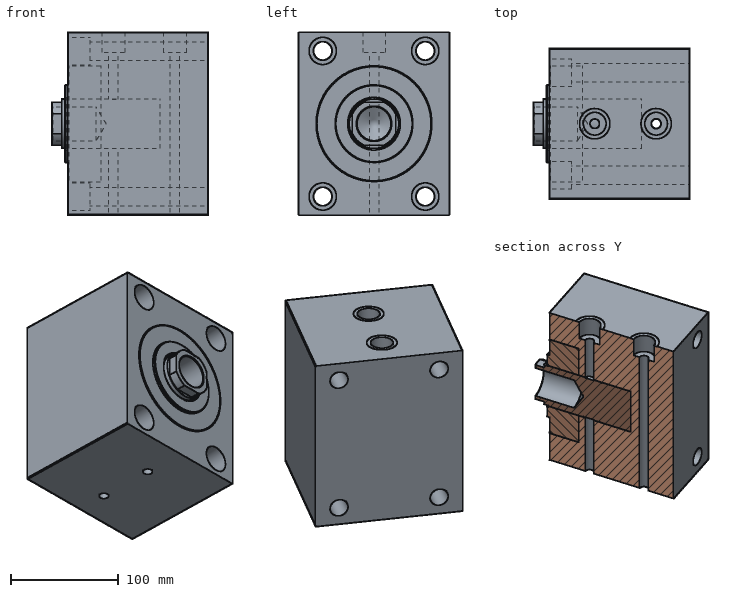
import cadquery as cq
import math


BLOCK_LENGTH = 130.0
BLOCK_WIDTH = 140.0
BLOCK_HEIGHT = 170.0
EDGE_CHAMFER = 0.8

BOLT_SPACING_Y = 95.0
BOLT_SPACING_Z = 135.0
BOLT_HOLE_DIAMETER = 17.0
BOLT_HEAD_DIAMETER = 25.3
BOLT_HEAD_DEPTH = 20.4

PORT_POSITIONS = (42.0, 99.0)
PORT_HOLE_DIAMETER = 8.8
PORT_THREAD_DIAMETER = 21.0
PORT_THREAD_DEPTH = 18.7
PORT_FACE_DIAMETER = 28.2
PORT_FACE_DEPTH = 0.2

GLAND_DIAMETER = 107.5
GLAND_DEPTH = 30.6
GLAND_EDGE_CHAMFER = 0.8
COLLAR_DIAMETER = 72.0
COLLAR_HEIGHT = 2.7
COLLAR_CHAMFER = 0.7
WIPER_RECESS_DIAMETER = 49.0
WIPER_RECESS_DEPTH = 1.4

ROD_DIAMETER = 45.9
ROD_END = 85.0
ROD_SHOULDER = 6.0
ROD_TIP = 15.0
TIP_DIAMETER = 44.0
TIP_ACROSS_FLATS = 40.0
ROD_THREAD_DIAMETER = 31.5
ROD_THREAD_DEPTH = 40.8
ROD_THREAD_CHAMFER = 0.7
DRILL_POINT_ANGLE = 118.0


def cylinder_x(diameter, start, end):
    """Cylinder on the X axis between two X positions."""
    return cq.Workplane("YZ", origin=(start, 0, 0)).circle(diameter / 2).extrude(end - start)


def make_block():
    """Plain block with its four long edges chamfered."""
    block = cq.Workplane("XY").box(
        BLOCK_LENGTH, BLOCK_WIDTH, BLOCK_HEIGHT, centered=(False, True, True)
    )
    return block.edges("|X").chamfer(EDGE_CHAMFER)


def cut_bolt_holes(block):
    """Four through holes, counterbored from the front face."""
    corners = cq.Workplane("YZ").rarray(BOLT_SPACING_Y, BOLT_SPACING_Z, 2, 2)
    holes = corners.circle(BOLT_HOLE_DIAMETER / 2).extrude(BLOCK_LENGTH)
    heads = corners.circle(BOLT_HEAD_DIAMETER / 2).extrude(BOLT_HEAD_DEPTH)
    return block.cut(holes).cut(heads)


def cut_ports(block):
    """Two drilled ports, each with a threaded mouth in a shallow spot face on the top."""
    centers = [(x, 0) for x in PORT_POSITIONS]
    top = cq.Workplane("XY", origin=(0, 0, BLOCK_HEIGHT / 2)).pushPoints(centers)
    for diameter, depth in (
        (PORT_HOLE_DIAMETER, BLOCK_HEIGHT),
        (PORT_THREAD_DIAMETER, PORT_THREAD_DEPTH),
        (PORT_FACE_DIAMETER, PORT_FACE_DEPTH),
    ):
        block = block.cut(top.circle(diameter / 2).extrude(-depth))
    return block


def make_housing():
    """Block with bolt holes, ports, the gland recess and the rod bore."""
    housing = cut_ports(cut_bolt_holes(make_block()))
    housing = housing.cut(cylinder_x(GLAND_DIAMETER, 0, GLAND_DEPTH))
    return housing.cut(cylinder_x(ROD_DIAMETER, 0, ROD_END))


def make_gland():
    """Ring flush with the front face, with a raised collar and a wiper recess around the rod."""
    ring = cylinder_x(GLAND_DIAMETER, 0, GLAND_DEPTH).faces("<X").chamfer(GLAND_EDGE_CHAMFER)
    collar = cylinder_x(COLLAR_DIAMETER, -COLLAR_HEIGHT, 0).faces("<X").chamfer(COLLAR_CHAMFER)
    bore = cylinder_x(ROD_DIAMETER, -COLLAR_HEIGHT, GLAND_DEPTH)
    recess = cylinder_x(WIPER_RECESS_DIAMETER, -COLLAR_HEIGHT, WIPER_RECESS_DEPTH - COLLAR_HEIGHT)
    return ring.union(collar).cut(bore).cut(recess)


def make_rod_thread_hole():
    """Blind hole in the rod tip with a chamfered mouth and a drill point."""
    radius = ROD_THREAD_DIAMETER / 2
    bottom = ROD_THREAD_DEPTH - ROD_TIP
    point_depth = radius / math.tan(math.radians(DRILL_POINT_ANGLE / 2))
    return (
        cq.Workplane("XZ")
        .moveTo(-ROD_TIP, 0)
        .lineTo(-ROD_TIP, radius + ROD_THREAD_CHAMFER)
        .lineTo(-ROD_TIP + ROD_THREAD_CHAMFER, radius)
        .lineTo(bottom, radius)
        .lineTo(bottom + point_depth, 0)
        .close()
        .revolve(360, (0, 0, 0), (1, 0, 0))
    )


def make_rod():
    """Round rod whose tip carries four wrench flats and a threaded hole."""
    shaft = cylinder_x(ROD_DIAMETER, -ROD_SHOULDER, ROD_END)
    wrench_square = cq.Workplane("YZ", origin=(-ROD_TIP, 0, 0)).rect(TIP_ACROSS_FLATS, TIP_ACROSS_FLATS)
    tip = cylinder_x(TIP_DIAMETER, -ROD_TIP, -ROD_SHOULDER).intersect(
        wrench_square.extrude(ROD_TIP - ROD_SHOULDER)
    )
    return shaft.union(tip).cut(make_rod_thread_hole())


housing = make_housing()
gland = make_gland()
rod = make_rod()

result = cq.Compound.makeCompound([housing.val(), gland.val(), rod.val()])